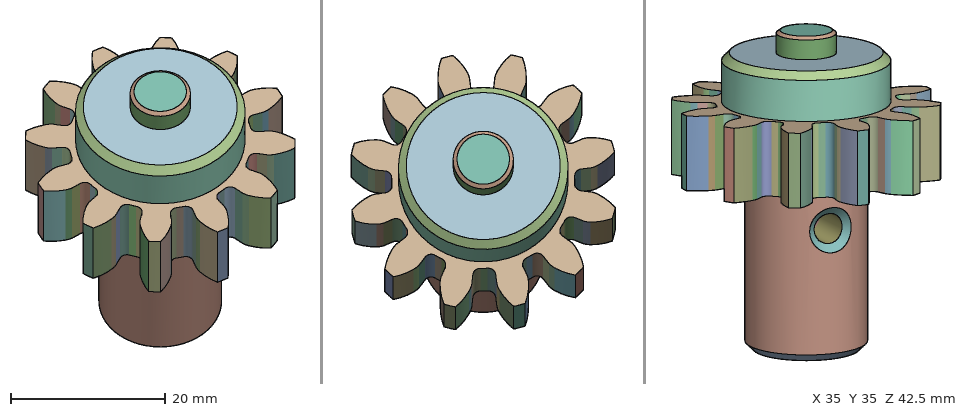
import cadquery as cq
import math

shaft_length = 23.0
gear_width = 10.0
hub_height = 6.5
pin_height = 3.0

gear_bottom = shaft_length
gear_top = gear_bottom + gear_width
hub_top = gear_top + hub_height

shaft_diameter = 16.0
hub_diameter = 22.0
pin_diameter = 7.8
edge_chamfer = 1.0
pin_chamfer_width = 0.5
pin_chamfer_height = 0.4

hole_diameter = 4.0
hole_height = 17.5
hole_chamfer = 1.0

tooth_count = 12
tip_diameter = 35.0
pressure_angle = math.radians(20)
dedendum_factor = 1.25
root_fillet = 0.98

gear_module = tip_diameter / (tooth_count + 2)
tip_radius = tip_diameter / 2
pitch_radius = gear_module * tooth_count / 2
base_radius = pitch_radius * math.cos(pressure_angle)
root_radius = pitch_radius - dedendum_factor * gear_module


def involute(angle):
    """Polar angle gained by an involute at the given pressure angle."""
    return math.tan(angle) - angle


base_half_angle = math.pi / (2 * tooth_count) + involute(pressure_angle)


def polar(radius, angle):
    """XY point at the given radius and angle."""
    return (radius * math.cos(angle), radius * math.sin(angle))


def flank_point(radius, tooth_angle, side):
    """Point on the involute flank; side is -1 or +1 across the tooth centre line."""
    half_angle = base_half_angle - involute(math.acos(base_radius / radius))
    return polar(radius, tooth_angle + side * half_angle)


def make_gear():
    pitch_angle = 2 * math.pi / tooth_count
    flank_radii = [
        base_radius,
        (base_radius + pitch_radius) / 2,
        pitch_radius,
        (pitch_radius + tip_radius) / 2,
        tip_radius,
    ]

    outline = cq.Workplane("XY").workplane(offset=gear_bottom)
    outline = outline.moveTo(*polar(root_radius, -base_half_angle))
    for tooth in range(tooth_count):
        centre = tooth * pitch_angle
        rising = [flank_point(radius, centre, -1) for radius in flank_radii]
        falling = [flank_point(radius, centre, 1) for radius in reversed(flank_radii)]
        space_middle = polar(root_radius, centre + pitch_angle / 2)
        next_root = polar(root_radius, centre + pitch_angle - base_half_angle)

        outline = outline.lineTo(*rising[0])
        outline = outline.threePointArc(rising[1], rising[2])
        outline = outline.threePointArc(rising[3], rising[4])
        outline = outline.threePointArc(polar(tip_radius, centre), falling[0])
        outline = outline.threePointArc(falling[1], falling[2])
        outline = outline.threePointArc(falling[3], falling[4])
        outline = outline.lineTo(*polar(root_radius, centre + base_half_angle))
        outline = outline.threePointArc(space_middle, next_root)
    blank = outline.close().extrude(gear_width)

    inner_limit = (root_radius + base_radius) / 2
    corners = [
        edge for edge in blank.edges("|Z").vals()
        if math.hypot(edge.Center().x, edge.Center().y) < inner_limit
    ]
    return blank.newObject(corners).fillet(root_fillet)


def make_shaft():
    shaft = cq.Workplane("XY").circle(shaft_diameter / 2).extrude(shaft_length)
    shaft = shaft.faces("<Z").chamfer(edge_chamfer)

    hole = cq.Workplane("YZ").center(0, hole_height).circle(hole_diameter / 2)
    shaft = shaft.cut(hole.extrude(shaft_diameter, both=True))

    hole_zone = cq.selectors.BoxSelector(
        (-shaft_diameter, -hole_diameter, hole_height - hole_diameter),
        (shaft_diameter, hole_diameter, hole_height + hole_diameter),
        boundingbox=True,
    )
    return shaft.edges(hole_zone).edges("not #X").chamfer(hole_chamfer)


def make_hub():
    hub = cq.Workplane("XY").workplane(offset=gear_top).circle(hub_diameter / 2).extrude(hub_height)
    return hub.faces(">Z").chamfer(edge_chamfer)


def make_pin():
    pin = cq.Workplane("XY").workplane(offset=hub_top).circle(pin_diameter / 2).extrude(pin_height)
    return pin.faces(">Z").chamfer(pin_chamfer_height, pin_chamfer_width)


result = make_shaft().union(make_gear()).union(make_hub()).union(make_pin())